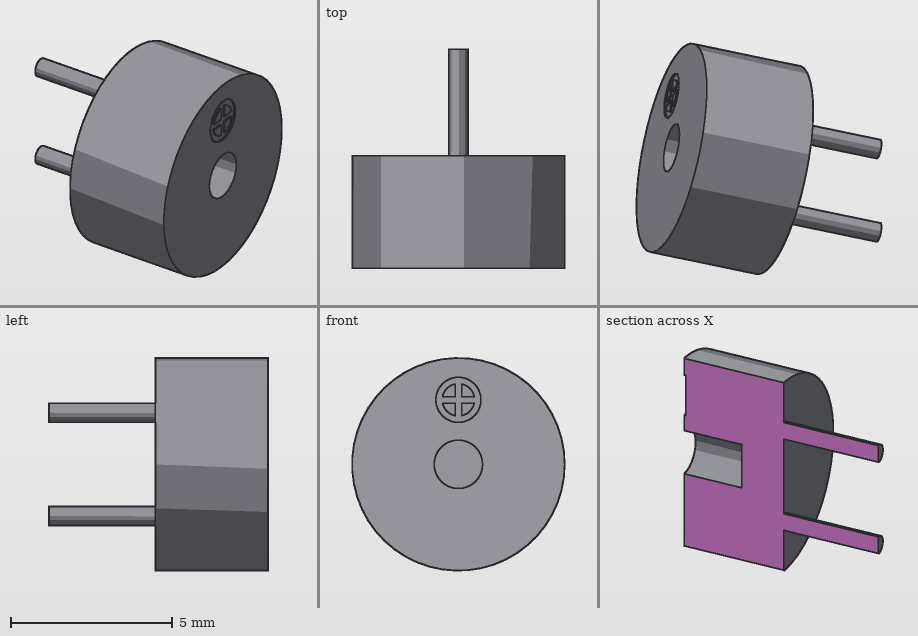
import cadquery as cq

body_diameter = 6.6
body_length = 3.5

sound_hole_diameter = 1.5
sound_hole_depth = 2.0

overall_length = 6.8
pin_length = overall_length - body_length
pin_diameter = 0.6
pin_spacing = 3.2

mark_height = 2.0
mark_diameter = 1.4
mark_depth = 0.05
quadrant_disc_diameter = 1.0
cross_width = 0.2


def cylinder_along_y(diameter, length, start_y=0, center_z=0):
    """Cylinder running toward +Y from start_y, centred on X = 0."""
    plane = cq.Plane(origin=(0, start_y, center_z), xDir=(1, 0, 0), normal=(0, 1, 0))
    return cq.Workplane(plane).circle(diameter / 2).extrude(length)


def mark_bar(size_x, size_z):
    """Bar of the plus-shaped gap, as deep as the mark recess."""
    bar = cq.Workplane("XY").box(size_x, mark_depth, size_z)
    return bar.translate((0, mark_depth / 2, mark_height))


def polarity_mark():
    """Volume to remove: the round recess less the four quadrants left standing."""
    recess = cylinder_along_y(mark_diameter, mark_depth, center_z=mark_height)
    quadrants = cylinder_along_y(quadrant_disc_diameter, mark_depth, center_z=mark_height)
    quadrants = quadrants.cut(mark_bar(quadrant_disc_diameter, cross_width))
    quadrants = quadrants.cut(mark_bar(cross_width, quadrant_disc_diameter))
    return recess.cut(quadrants)


body = cylinder_along_y(body_diameter, body_length)
body = body.cut(cylinder_along_y(sound_hole_diameter, sound_hole_depth))
body = body.cut(polarity_mark())

for side in (-1, 1):
    pin = cylinder_along_y(pin_diameter, pin_length, body_length, side * pin_spacing / 2)
    body = body.union(pin)

result = body